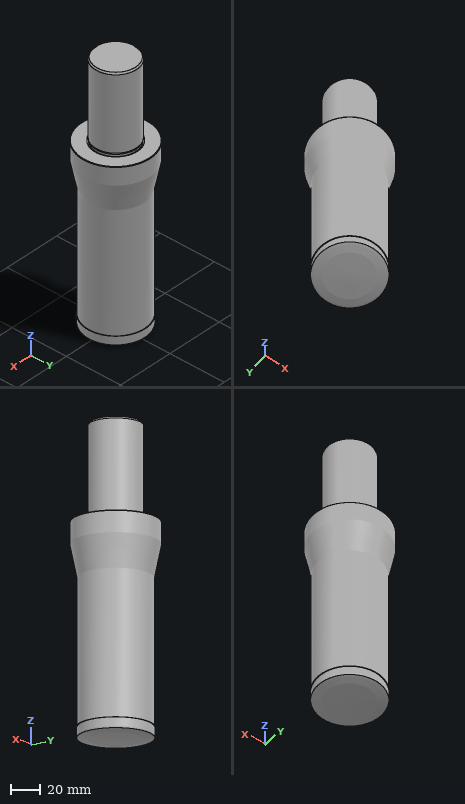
import cadquery as cq
import math

TOTAL_LENGTH = 224.8

HEAD_RADIUS = 27.0
HEAD_LENGTH = 9.7
CORNER_START_Z = 3.0
CORNER_END_RADIUS = 26.8
CORNER_END_Z = 2.0
OUTER_CONE_RADIUS = 24.7
OUTER_CONE_Z = 1.5
INNER_CONE_RADIUS = 18.9
INNER_CONE_Z = 0.7

BODY_RADIUS = 26.5
BODY_TOP_Z = 114.6
TAPER_FILLET_RADIUS = 3.4
COLLAR_RADIUS = 31.5
COLLAR_BOTTOM_Z = 139.0
COLLAR_TOP_Z = 154.9
COLLAR_CHAMFER = 0.5

SHANK_RADIUS = 19.0
SHANK_CHAMFER_WIDTH = 1.0
SHANK_CHAMFER_HEIGHT = 1.5
NECK_RADIUS = 18.7
NECK_TOP_Z = 156.2
SHANK_BOTTOM_Z = 157.5
UNDERCUT_RADIUS = 19.8
UNDERCUT_DEPTH = 0.5


def revolve_about_z(profile):
    """Turn a closed half profile, drawn as (radius, height), into a solid of revolution."""
    return profile.close().revolve(360, (0, 0, 0), (0, 1, 0))


def make_cutting_head():
    """Short disc with a beveled rim and an end of three cones that flatten toward the tip."""
    profile = (
        cq.Workplane("XZ")
        .moveTo(0, 0)
        .lineTo(INNER_CONE_RADIUS, INNER_CONE_Z)
        .lineTo(OUTER_CONE_RADIUS, OUTER_CONE_Z)
        .lineTo(CORNER_END_RADIUS, CORNER_END_Z)
        .lineTo(HEAD_RADIUS, CORNER_START_Z)
        .lineTo(HEAD_RADIUS, HEAD_LENGTH)
        .lineTo(0, HEAD_LENGTH)
    )
    return revolve_about_z(profile)


def make_holder():
    """Cylindrical body, taper, collar and undercut shank, standing on the cutting head."""
    taper_angle = math.atan2(COLLAR_RADIUS - BODY_RADIUS, COLLAR_BOTTOM_Z - BODY_TOP_Z)
    fillet_end_radius = BODY_RADIUS + TAPER_FILLET_RADIUS * (1 - math.cos(taper_angle))
    fillet_end_z = BODY_TOP_Z + TAPER_FILLET_RADIUS * math.sin(taper_angle)
    fillet_mid_radius = BODY_RADIUS + TAPER_FILLET_RADIUS * (1 - math.cos(taper_angle / 2))
    fillet_mid_z = BODY_TOP_Z + TAPER_FILLET_RADIUS * math.sin(taper_angle / 2)

    profile = (
        cq.Workplane("XZ")
        .moveTo(0, HEAD_LENGTH)
        .lineTo(BODY_RADIUS, HEAD_LENGTH)
        .lineTo(BODY_RADIUS, BODY_TOP_Z)
        .threePointArc((fillet_mid_radius, fillet_mid_z), (fillet_end_radius, fillet_end_z))
        .lineTo(COLLAR_RADIUS, COLLAR_BOTTOM_Z)
        .lineTo(COLLAR_RADIUS, COLLAR_TOP_Z - COLLAR_CHAMFER)
        .lineTo(COLLAR_RADIUS - COLLAR_CHAMFER, COLLAR_TOP_Z)
        .lineTo(UNDERCUT_RADIUS, COLLAR_TOP_Z)
        .lineTo(NECK_RADIUS, COLLAR_TOP_Z - UNDERCUT_DEPTH)
        .lineTo(NECK_RADIUS, NECK_TOP_Z)
        .lineTo(SHANK_RADIUS, SHANK_BOTTOM_Z)
        .lineTo(SHANK_RADIUS, TOTAL_LENGTH - SHANK_CHAMFER_HEIGHT)
        .lineTo(SHANK_RADIUS - SHANK_CHAMFER_WIDTH, TOTAL_LENGTH)
        .lineTo(0, TOTAL_LENGTH)
    )
    return revolve_about_z(profile)


cutting_head = make_cutting_head()
holder = make_holder()

result = cq.Compound.makeCompound([cutting_head.val(), holder.val()])